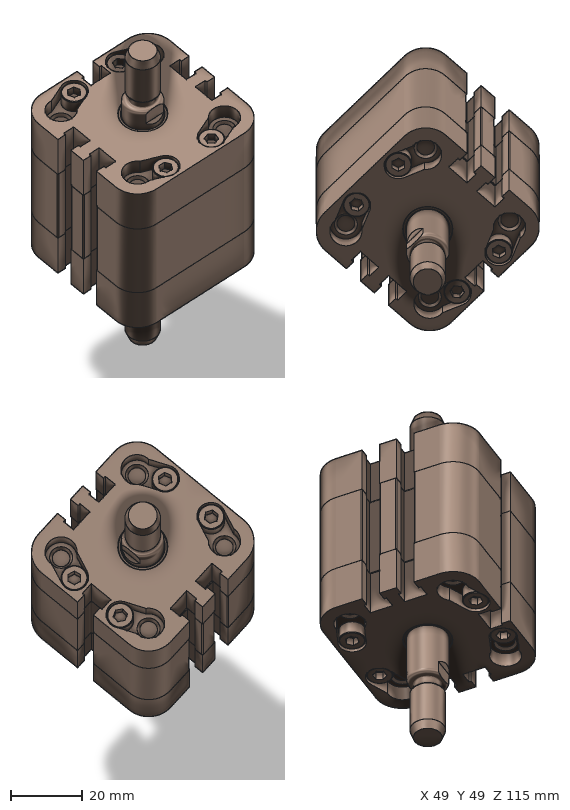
import cadquery as cq
import math

housing_width = 49.0
half_width = housing_width / 2
cap_height = 14.1
tube_height = 25.8
half_tube = tube_height / 2
joint_corner_diameter = 16.3
end_corner_diameter = 16.5

side_slot_offset = 5.4
slot_lip = 2.9
side_slot_width = 7.0
side_slot_mouth = 5.5
cap_side_slot_depth = 6.5
tube_side_slot_depth = 6.2
tube_mouth_chamfer = 0.3
back_slot_width = 7.2
back_slot_mouth = 5.9
back_slot_depth = 6.7
tube_back_corner_radius = 0.8

pocket_depth = 4.6
pocket_floor = cap_height - pocket_depth
thread_offset = 16.2
screw_x = 19.4
screw_y = 8.5
thread_end_diameter = 9.0
pocket_width = 7.9
thread_diameter = 5.0
thread_mouth_diameter = 6.4
screw_head_diameter = 7.5
screw_head_chamfer = 0.2
screw_head_recess = 0.7
socket_corner_diameter = 4.0
socket_depth = 2.5
cap_corners = [(1, 1, 47), (-1, 1, 41), (-1, -1, 22), (1, -1, 30)]

rod_length = 115.0
rod_top_projection = 25.5
rod_diameter = 12.0
rod_hole_mouth_diameter = 12.5
recess_floor_diameter = 13.7
recess_rim_diameter = 14.0
stud_diameter = 10.0
stud_tip_diameter = 8.0
stud_tip_chamfer = 2.6
stud_root_chamfer = 0.6
groove_diameter = 7.9
groove_fillet = 0.3
stud_length = 16.3
shoulder_distance = 19.0
shoulder_radius = 1.4
flat_width = 10.0
flat_end_distance = 23.3

top_face = half_tube + cap_height
rod_center = top_face + rod_top_projection - rod_length / 2


def rounded_square(corner_diameter):
    return cq.Sketch().rect(housing_width, housing_width).vertices().fillet(corner_diameter / 2)


def rounded_block(height, bottom_corner_diameter, top_corner_diameter):
    """A square block on Z = 0 whose corner rounding may change evenly from bottom to top."""
    bottom = rounded_square(bottom_corner_diameter)
    top = rounded_square(top_corner_diameter).moved(cq.Location(cq.Vector(0, 0, height)))
    return cq.Workplane("XY").placeSketch(bottom, top).loft(ruled=True)


def t_slot(width, mouth, depth, height):
    """A T-slot cutter that enters the +Y face at X = 0, standing on Z = 0."""
    channel_depth = depth - slot_lip
    channel_middle = half_width - slot_lip - channel_depth / 2
    channel = cq.Workplane("XY").center(0, channel_middle).rect(width, channel_depth).extrude(height)
    opening = cq.Workplane("XY").center(0, half_width - slot_lip / 2).rect(mouth, slot_lip).extrude(height)
    return channel.union(opening)


def mouth_chamfer(mouth, height):
    """Cutter for the 45 degree chamfers on both outer edges of a slot mouth."""
    inner_x = mouth / 2
    outer_x = inner_x + tube_mouth_chamfer
    inner_y = half_width - tube_mouth_chamfer
    corners = [(-outer_x, half_width), (-inner_x, inner_y), (inner_x, inner_y), (outer_x, half_width)]
    return cq.Workplane("XY").polyline(corners).close().extrude(height)


def cut_slots(block, side_slot, back_slot):
    """Cut the four Y-face slots and the single -X face slot."""
    for turn in (0, 180):
        for offset in (-side_slot_offset, side_slot_offset):
            block = block.cut(side_slot.translate((offset, 0, 0)).rotate((0, 0, 0), (0, 0, 1), turn))
    return block.cut(back_slot.rotate((0, 0, 0), (0, 0, 1), 90))


def pocket(thread_place, screw_place):
    """The pocket cutter: a slot around the screw, widened by a circle around the threaded hole."""
    tx, ty = thread_place
    sx, sy = screw_place
    spacing = math.hypot(tx - sx, ty - sy)
    angle = math.degrees(math.atan2(ty - sy, tx - sx))
    slot = (
        cq.Workplane("XY", origin=((tx + sx) / 2, (ty + sy) / 2, pocket_floor))
        .slot2D(spacing + pocket_width, pocket_width, angle)
        .extrude(pocket_depth)
    )
    widening = (
        cq.Workplane("XY", origin=(tx, ty, pocket_floor))
        .circle(thread_end_diameter / 2)
        .extrude(pocket_depth)
    )
    return slot.union(widening)


def frustum(bottom_diameter, top_diameter, top):
    """A 45 degree cone frustum on the Z axis, ending at the given height."""
    bottom_radius = bottom_diameter / 2
    top_radius = top_diameter / 2
    bottom = top - (top_radius - bottom_radius)
    profile = cq.Workplane("XZ").polyline([(0, bottom), (bottom_radius, bottom), (top_radius, top), (0, top)])
    return profile.close().revolve(360, (0, 0, 0), (0, 1, 0))


def thread_mouth(thread_place):
    """The countersunk mouth of the threaded hole, closed just below the pocket floor."""
    return frustum(thread_diameter, thread_mouth_diameter, pocket_floor).translate((*thread_place, 0))


def screw_head(screw_place, socket_turn):
    """The socket screw head that stands on the pocket floor, part of the cap."""
    head_height = pocket_depth - screw_head_recess
    head = cq.Workplane("XY").circle(screw_head_diameter / 2).extrude(head_height)
    head = head.faces(">Z").chamfer(screw_head_chamfer)
    socket = (
        cq.Workplane("XY", origin=(0, 0, head_height - socket_depth))
        .polygon(6, socket_corner_diameter)
        .extrude(socket_depth)
        .rotate((0, 0, 0), (0, 0, 1), socket_turn)
    )
    return head.cut(socket).translate((*screw_place, pocket_floor))


def rod_hole():
    """The rod hole with a chamfered mouth inside a shallow chamfered recess in the outer face."""
    recess_depth = (recess_rim_diameter - recess_floor_diameter) / 2
    hole = cq.Workplane("XY").circle(rod_diameter / 2).extrude(cap_height)
    recess = frustum(recess_floor_diameter, recess_rim_diameter, cap_height)
    mouth = frustum(rod_diameter, rod_hole_mouth_diameter, cap_height - recess_depth)
    return hole.union(recess).union(mouth)


def make_cap():
    """The upper end cap, standing on Z = 0."""
    side_slot = t_slot(side_slot_width, side_slot_mouth, cap_side_slot_depth, cap_height)
    back_slot = t_slot(back_slot_width, back_slot_mouth, back_slot_depth, cap_height)
    block = rounded_block(cap_height, joint_corner_diameter, end_corner_diameter)
    cap = cut_slots(block, side_slot, back_slot)
    for x_side, y_side, socket_turn in cap_corners:
        thread_place = (x_side * thread_offset, y_side * thread_offset)
        screw_place = (x_side * screw_x, y_side * screw_y)
        cap = cap.cut(pocket(thread_place, screw_place))
        cap = cap.cut(thread_mouth(thread_place))
        cap = cap.union(screw_head(screw_place, socket_turn))
    return cap.cut(rod_hole())


def make_tube():
    """The slotted tube between the caps, bored to fit the rod."""
    side_slot = t_slot(side_slot_width, side_slot_mouth, tube_side_slot_depth, tube_height)
    side_slot = side_slot.union(mouth_chamfer(side_slot_mouth, tube_height))
    back_slot = t_slot(back_slot_width, back_slot_mouth, back_slot_depth, tube_height)
    back_slot = back_slot.edges("|Z and <Y").fillet(tube_back_corner_radius)
    block = rounded_block(tube_height, joint_corner_diameter, joint_corner_diameter)
    tube = cut_slots(block, side_slot, back_slot)
    tube = tube.cut(cq.Workplane("XY").circle(rod_diameter / 2).extrude(tube_height))
    return tube.translate((0, 0, -half_tube))


def make_rod_half():
    """The upper half of the turned rod, standing on Z = 0."""
    half = rod_length / 2
    tip_radius = stud_tip_diameter / 2
    stud_radius = stud_diameter / 2
    groove_radius = groove_diameter / 2
    rod_radius = rod_diameter / 2
    groove_top = half - stud_length
    shoulder = half - shoulder_distance
    profile = (
        cq.Workplane("XZ")
        .moveTo(0, half)
        .lineTo(tip_radius, half)
        .lineTo(stud_radius, half - stud_tip_chamfer)
        .lineTo(stud_radius, groove_top + stud_root_chamfer)
        .lineTo(stud_radius - stud_root_chamfer, groove_top)
        .lineTo(groove_radius + groove_fillet, groove_top)
        .radiusArc((groove_radius, groove_top - groove_fillet), -groove_fillet)
        .lineTo(groove_radius, shoulder + groove_fillet)
        .radiusArc((groove_radius + groove_fillet, shoulder), -groove_fillet)
        .lineTo(rod_radius - shoulder_radius, shoulder)
        .radiusArc((rod_radius, shoulder - shoulder_radius), shoulder_radius)
        .lineTo(rod_radius, 0)
        .lineTo(0, 0)
        .close()
    )
    return profile.revolve(360, (0, 0, 0), (0, 1, 0))


def wrench_flat():
    """Cutter for the +X flat, whose inner end runs out at 45 degrees."""
    flat_x = flat_width / 2
    flat_end = rod_length / 2 - flat_end_distance
    shoulder = rod_length / 2 - shoulder_distance
    outer_x = rod_diameter
    return (
        cq.Workplane("XZ")
        .moveTo(flat_x, shoulder)
        .lineTo(flat_x, flat_end)
        .lineTo(outer_x, flat_end - (outer_x - flat_x))
        .lineTo(outer_x, shoulder)
        .close()
        .extrude(rod_diameter / 2, both=True)
    )


def make_rod():
    """The whole rod: the upper half and its mirror image."""
    flat = wrench_flat()
    half = make_rod_half().cut(flat).cut(flat.mirror("YZ"))
    return half.union(half.mirror("XY")).translate((0, 0, rod_center))


tube = make_tube()
upper_cap = make_cap().translate((0, 0, half_tube))
lower_cap = upper_cap.mirror("XY")
rod = make_rod()

result = cq.Compound.makeCompound([tube.val(), upper_cap.val(), lower_cap.val(), rod.val()])